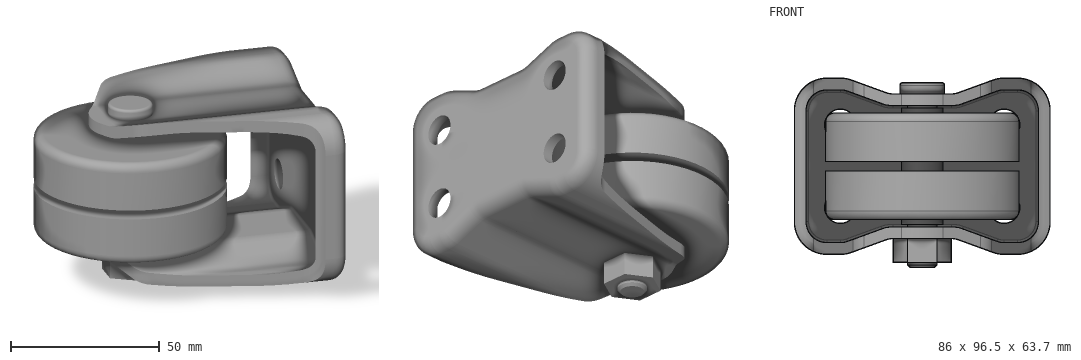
import cadquery as cq
import math


wheel_radius = 32.5
wheel_face_z = 17.95
wheel_gap = 3.2
wheel_edge_radius = 3.0
hub_radius = 6.9
hub_end_z = 19.5

total_length = 96.5
bracket_width = 86.0
bracket_height = 59.25
sheet = 4.0
back_edge_radius = 4.8
corner_radius = 11.0
shoulder_radius = 11.0
waist_radius = corner_radius - sheet
waist_half_height = 24.3
waist_corner_x = 11.0
waist_slope = 20.0

tip_radius = 14.0
tip_slope = 30.0
cheek_corner_x = 22.5
cheek_corner_radius = 8.0
cheek_taper = 15.0
rim_depth = 7.8
flare_radius = 9.5

hole_diameter = 10.5
hole_x = 27.5
hole_z = 13.9

bolt_radius = 5.0
bolt_chamfer = 1.0
head_radius = 7.5
head_height = 3.8
head_edge_radius = 1.0
nut_across_flats = 17.0
nut_height = 8.0
bolt_end_z = -34.1

back_y = total_length - wheel_radius


def tangent(degrees):
    return math.tan(math.radians(degrees))


def mirrored_x(points):
    """Close a half outline, listed on the +X side, with its mirror image."""
    return points + [(-x, y) for x, y in reversed(points) if x > 0]


def cylinder(radius, z_start, z_end):
    return cq.Workplane("XY").workplane(offset=z_start).circle(radius).extrude(z_end - z_start)


def round_edges(solid, places, radius):
    """Round the edges whose middles lie at the given places."""
    for place in places:
        solid = solid.edges(cq.NearestToPointSelector(place)).fillet(radius)
    return solid


def folded_shell():
    """Waisted box, open towards -Y, with an even wall."""
    half_width = bracket_width / 2
    half_height = bracket_height / 2
    shoulder_x = waist_corner_x + (half_height - waist_half_height) / tangent(waist_slope)
    front_y = -back_y
    middle_y = (front_y + back_y) / 2

    upper = [
        (waist_corner_x, waist_half_height),
        (shoulder_x, half_height),
        (half_width, half_height),
    ]
    right_half = upper + [(x, -z) for x, z in reversed(upper)]
    solid = (
        cq.Workplane("XZ", origin=(0, back_y, 0))
        .polyline(mirrored_x(right_half))
        .close()
        .extrude(back_y - front_y)
    )
    for (x, z), radius in zip(upper, (waist_radius, shoulder_radius, corner_radius)):
        places = [(sx * x, middle_y, sz * z) for sx in (1, -1) for sz in (1, -1)]
        solid = round_edges(solid, places, radius)
    return solid.faces(">Y").edges().fillet(back_edge_radius).faces("<Y").shell(-sheet)


def cheek_profile():
    """Prism along Z that trims the folded shell to its tapered cheeks."""
    tip_y = -tip_radius / math.cos(math.radians(tip_slope))
    cheek_corner_y = tip_y + cheek_corner_x * tangent(tip_slope)
    rim_y = back_y - rim_depth
    flare_x = cheek_corner_x + (rim_y - cheek_corner_y) * tangent(cheek_taper)

    right_half = [
        (0, tip_y),
        (cheek_corner_x, cheek_corner_y),
        (flare_x, rim_y),
        (bracket_width, rim_y),
        (bracket_width, back_y),
    ]
    solid = (
        cq.Workplane("XY")
        .polyline(mirrored_x(right_half))
        .close()
        .extrude(bracket_height, both=True)
    )
    solid = round_edges(solid, [(0, tip_y, 0)], tip_radius)
    for side in (1, -1):
        solid = round_edges(solid, [(side * cheek_corner_x, cheek_corner_y, 0)], cheek_corner_radius)
        solid = round_edges(solid, [(side * flare_x, rim_y, 0)], flare_radius)
    return solid


def bracket():
    holes = (
        cq.Workplane("XZ", origin=(0, back_y, 0))
        .rect(2 * hole_x, 2 * hole_z, forConstruction=True)
        .vertices()
        .circle(hole_diameter / 2)
        .extrude(2 * sheet)
    )
    return folded_shell().intersect(cheek_profile()).cut(holes)


def wheels():
    upper = cylinder(wheel_radius, wheel_gap / 2, wheel_face_z).faces(">Z").edges().fillet(wheel_edge_radius)
    return upper.union(upper.mirror("XY")).union(cylinder(hub_radius, -hub_end_z, hub_end_z))


def axle_bolt():
    head_top_z = waist_half_height + head_height
    shank = cylinder(bolt_radius, bolt_end_z, head_top_z).faces("<Z").chamfer(bolt_chamfer)
    head = cylinder(head_radius, waist_half_height, head_top_z).faces(">Z").edges().fillet(head_edge_radius)
    across_corners = nut_across_flats / math.cos(math.radians(30))
    nut = (
        cq.Workplane("XY")
        .workplane(offset=-waist_half_height)
        .polygon(6, across_corners)
        .extrude(-nut_height)
    )
    return shank.union(head).union(nut)


result = bracket().union(wheels()).union(axle_bolt())